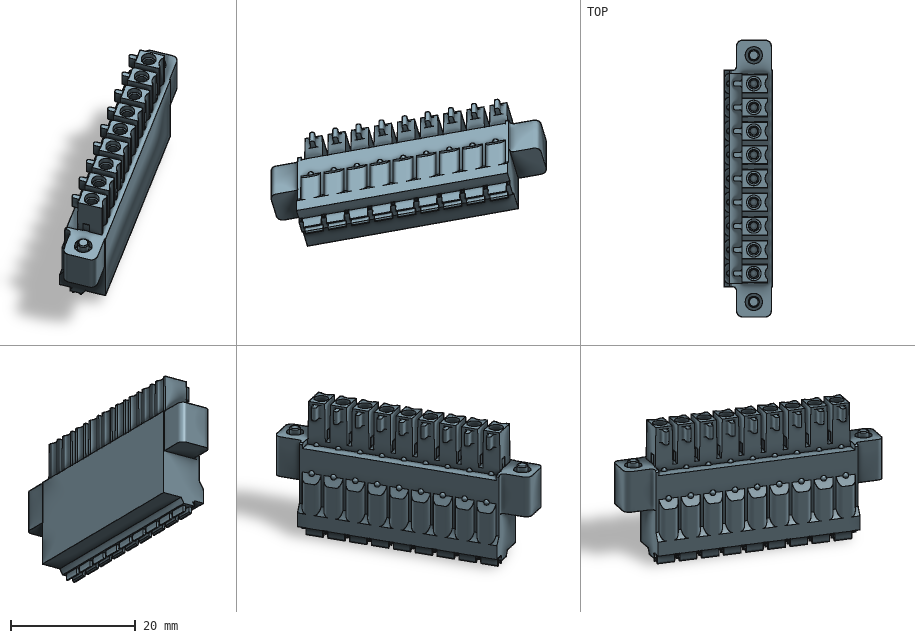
import cadquery as cq


total_length = 44.5
total_depth = 7.75
total_height = 22.9
pole_count = 9
pole_span = 30.45
pole_pitch = pole_span / (pole_count - 1)
pole_places = [(i - (pole_count - 1) / 2) * pole_pitch for i in range(pole_count)]
screw_x = 4.75

body_length = 34.8
body_bottom = 2.05
body_top = 16.32
wall_x = 0.85
foot_top = 4.45
foot_slope_top = 5.83
tail_bottom = 1.1
tail_front = 1.75
tail_back = 3.83
tail_slope_end = 4.35
ledge_length = 33.7
ledge_back = 2.85
ledge_z = 15.45
cheek_bevel = 0.25

flange_bottom = 9.4
flange_front = 1.95
flange_back = 7.6
flange_corner = 1.05
flange_root = 0.6
screw_inset = 2.45
screw_radius = 0.9
screw_rise = 0.85
screw_bevel = 0.2
screw_well_radius = 1.4
screw_well_depth = 1.35

key_half_width = 1.65
key_corner = 0.95
key_top_front = 9.85
key_top_back = 11.35
ball_radius = 0.5
ball_inset = 0.05

tower_back = 6.95
tower_top_width = 2.8
tower_base_width = 3.02
scallop_half_width = 0.9
scallop_depth = 0.35
bore_radius = 1.15
bore_depth = 1.02
core_floor_radius = 0.62
core_mouth_radius = 0.85
core_depth = 3.55
window_x = 3.75
window_width = 1.1
window_top = 17.95
window_depth = 0.1

nub_front = 1.45
nub_half_width = 0.4
nub_corner = 0.35
nub_flare = 0.35
nub_bottom = 20.3
nub_top = 22.5

contact_half_width = 1.45
contact_thickness = 0.5
contact_front = 1.85
contact_rear = 3.05
contact_inner_bevel = 0.22
contact_outer_bevel = 0.1
contact_bevel_height = 0.3
pocket_half_width = 1.55

notch_half_width = 0.2
notch_depth = 0.35
notch_bottom = 1.25
notch_top = 1.82


def box(x0, x1, y0, y1, z0, z1):
    """Rectangular block between two opposite corners."""
    return cq.Workplane("XY").box(x1 - x0, y1 - y0, z1 - z0, centered=False).translate((x0, y0, z0))


def post(x, y, z0, z1, radius):
    """Upright cylinder between two heights."""
    return cq.Workplane("XY", origin=(x, y, z0)).circle(radius).extrude(z1 - z0)


def ball(x, y, z):
    """Small locating ball, partly sunk in the faces around it."""
    return cq.Workplane("XY").sphere(ball_radius).translate((x, y, z))


def housing():
    """Side profile run along the length, with the open ledge cut into its upper front edge."""
    profile = [
        (0, body_bottom),
        (tail_front, body_bottom),
        (tail_front, tail_bottom),
        (tail_back, tail_bottom),
        (tail_slope_end, body_bottom),
        (total_depth, body_bottom),
        (total_depth, body_top),
        (wall_x + cheek_bevel, body_top),
        (wall_x, body_top - cheek_bevel),
        (wall_x, foot_slope_top),
        (0, foot_top),
    ]
    body = cq.Workplane("XZ").polyline(profile).close().extrude(body_length / 2, both=True)
    half_ledge = ledge_length / 2
    return body.cut(box(0, ledge_back, -half_ledge, half_ledge, ledge_z, body_top))


def flange():
    """Screw flange at the +Y end, blended into the end wall of the housing."""
    end = total_length / 2
    wall = body_length / 2
    height = body_top - flange_bottom
    plate = box(flange_front, flange_back, ledge_length / 2, end, flange_bottom, body_top)
    plate = plate.edges("|Z and >Y").fillet(flange_corner)
    root = (
        cq.Workplane("XY", origin=(0, 0, flange_bottom))
        .moveTo(flange_front - flange_root, wall)
        .radiusArc((flange_front, wall + flange_root), -flange_root)
        .lineTo(flange_front + flange_root, wall)
        .close()
        .extrude(height)
    )
    return plate.union(root)


def screw(y):
    """Flange screw standing on the floor of its well."""
    floor = body_top - screw_well_depth
    return post(screw_x, y, floor, body_top + screw_rise, screw_radius).faces(">Z").chamfer(screw_bevel)


def key():
    """Round-cornered wire key with a sloping top and a ball at its upper edge."""
    bar = box(0, ledge_back, -key_half_width, key_half_width, body_bottom, key_top_back)
    bar = bar.edges("|Z and <X").fillet(key_corner)
    slope = (
        cq.Workplane("XZ")
        .polyline([(0, key_top_front), (wall_x, key_top_back), (0, key_top_back)])
        .close()
        .extrude(key_half_width, both=True)
    )
    return bar.cut(slope).union(ball(wall_x + ball_inset, 0, key_top_back))


def nub():
    """Coding nub with a rounded tip and a flared root."""
    straight_end = ledge_back - nub_flare
    root_half = nub_half_width + nub_flare
    return (
        cq.Workplane("XY", origin=(0, 0, nub_bottom))
        .moveTo(ledge_back, -root_half)
        .radiusArc((straight_end, -nub_half_width), -nub_flare)
        .lineTo(nub_front, -nub_half_width)
        .lineTo(nub_front, nub_half_width)
        .lineTo(straight_end, nub_half_width)
        .radiusArc((ledge_back, root_half), -nub_flare)
        .close()
        .extrude(nub_top - nub_bottom)
        .edges("|Z and <X")
        .fillet(nub_corner)
    )


def tower():
    """Tapered screw tower with its bore, scalloped back, side windows, coding nub and foot ball."""
    half_base = tower_base_width / 2
    half_top = tower_top_width / 2
    sides = [
        (-half_base, body_top),
        (half_base, body_top),
        (half_top, total_height),
        (-half_top, total_height),
    ]
    block = (
        cq.Workplane("YZ", origin=(ledge_back, 0, 0))
        .polyline(sides)
        .close()
        .extrude(tower_back - ledge_back)
    )
    scallop_radius = (scallop_half_width**2 + scallop_depth**2) / (2 * scallop_depth)
    scallop_x = tower_back - scallop_depth + scallop_radius
    block = block.cut(post(scallop_x, 0, body_top, total_height, scallop_radius))
    block = block.cut(post(screw_x, 0, total_height - bore_depth, total_height, bore_radius))
    core = post(screw_x, 0, total_height - core_depth, total_height - bore_depth, core_mouth_radius)
    block = block.cut(core.faces("<Z").chamfer(core_mouth_radius - core_floor_radius))
    window_y = half_base - window_depth
    window = box(window_x, window_x + window_width, window_y, half_base, body_top, window_top)
    block = block.cut(window).cut(window.mirror("XZ"))
    return block.union(nub()).union(ball(ledge_back + ball_inset, 0, ledge_z))


def contact():
    """Pair of bevelled contact tips, the rear one turned to face the front one."""
    profile = [
        (0, body_bottom),
        (0, contact_bevel_height),
        (contact_outer_bevel, 0),
        (contact_thickness - contact_inner_bevel, 0),
        (contact_thickness, contact_inner_bevel),
        (contact_thickness, body_bottom),
    ]
    tip = cq.Workplane("XZ").polyline(profile).close().extrude(contact_half_width, both=True)
    front_tip = tip.translate((contact_front, 0, 0))
    rear_tip = tip.mirror("YZ").translate((contact_rear + contact_thickness, 0, 0))
    return front_tip.union(rear_tip)


def tail_notch():
    """Small ramped notch in the front of the tail, beside a contact pocket."""
    ramp = [(tail_front, notch_bottom), (tail_front + notch_depth, notch_top), (tail_front, notch_top)]
    return cq.Workplane("XZ").polyline(ramp).close().extrude(notch_half_width, both=True)


result = housing()
end_flange = flange()
result = result.union(end_flange).union(end_flange.mirror("XZ"))
screw_y = total_length / 2 - screw_inset
for y in (-screw_y, screw_y):
    result = result.cut(post(screw_x, y, body_top - screw_well_depth, body_top, screw_well_radius))
    result = result.union(screw(y))

pole_key = key()
pole_tower = tower()
pole_contact = contact()
contact_pocket = box(
    tail_front, contact_front, -pocket_half_width, pocket_half_width, tail_bottom, body_bottom
)
for y in pole_places:
    result = result.cut(contact_pocket.translate((0, y, 0)))
    for feature in (pole_key, pole_tower, pole_contact):
        result = result.union(feature.translate((0, y, 0)))

pole_borders = [(i - pole_count / 2) * pole_pitch for i in range(pole_count + 1)]
notch = tail_notch()
for y in pole_borders:
    result = result.cut(notch.translate((0, y, 0)))